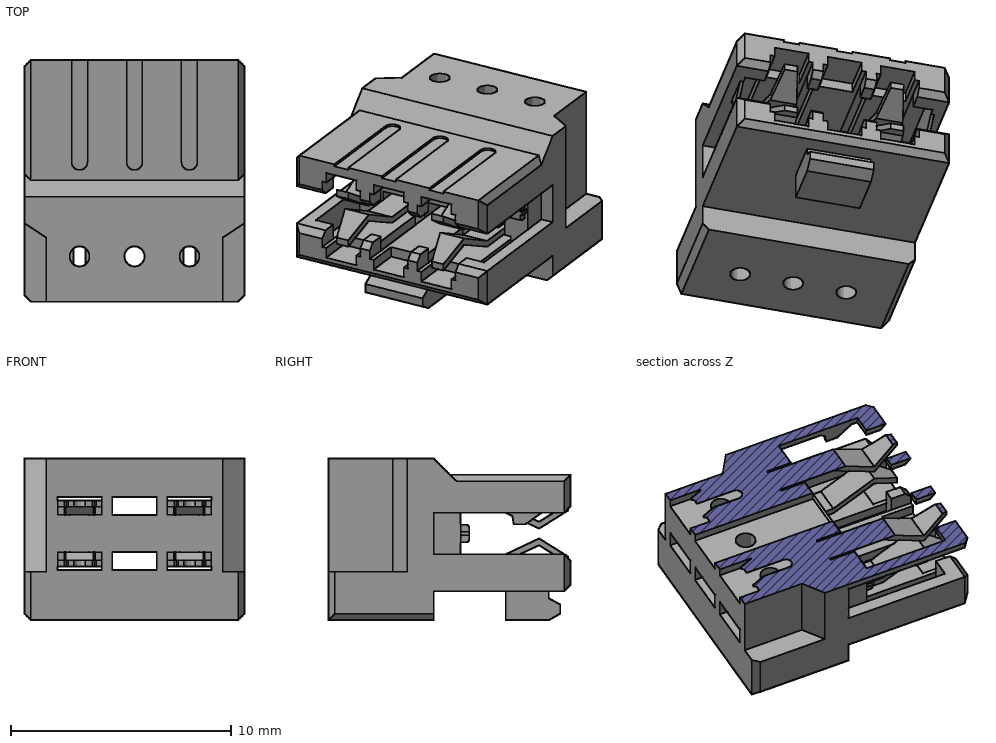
import cadquery as cq

WIDTH = 10.0
LENGTH = 11.0
HEIGHT = 7.35
BODY_LENGTH = 4.78
CHAMFER = 0.3
HALF_WIDTH = WIDTH / 2

UPPER_ARM_TOP = 6.61
LOWER_ARM_BOTTOM = 1.31
GAP_HEIGHT = 1.87
MID_Z = 3.94
GAP_BOTTOM = MID_Z - GAP_HEIGHT / 2
GAP_TOP = MID_Z + GAP_HEIGHT / 2

STEP_Z = 2.21
STEP_WIDTH = 1.0
STEP_FLAT_END = 2.92
STEP_END = 3.58

PITCH = 2.5
COLUMNS = (-PITCH, 0, PITCH)
CONTACT_COLUMNS = (-PITCH, PITCH)
SLOT_WIDTH = 2.0
SLOT_HEIGHT = 0.8
SLOT_BOTTOM = 2.29
HOLE_DIAMETER = 0.9
HOLE_Y = 2.07
GROOVE_WIDTH = 0.73
GROOVE_DEPTH = 0.1
GROOVE_START = 6.0

BLOCK_WIDTH = 8.82
BLOCK_END = 6.01
BAR_END = 6.4
BAR_HEIGHT = 0.8
BAR_TIP_HEIGHT = 0.18
BAR_WIDTH = 8.69
BAR_TIP_LENGTH = 0.1
BAR_FILLET = 0.14

POCKET_END = 9.99
POCKET_FLOOR = 1.8
RELIEF_WIDTH = 1.58
RELIEF_START = 9.43

SHEET = 0.3
SHEET_BOTTOM = 2.43
SHEET_TOP = SHEET_BOTTOM + SHEET
BLADE_TIP = 0.88
BLADE_SHOULDER = 0.99
BLADE_SLOPE_END = 1.6
SLIT_WIDTH = 0.53
SLIT_END = 2.86
BLADE_SLOPE_WIDTH = 0.31
BLADE_TIP_WIDTH = 0.09
BLADE_FALL_WIDTH = 0.09
SPRING_WIDTH = 1.25
SPRING_BEND_Y = 7.48
SPRING_PEAK_Y = 9.57
SPRING_PEAK_Z = 3.72
SPRING_TIP_WIDTH = 0.6
SPRING_TIP_Y = 10.89
SPRING_TIP_Z = 2.89
SPRING_DROP = 0.32
LEDGE_WIDTH = 0.31

HOOK_WIDTH = 3.0
HOOK_FRONT = 8.05
HOOK_BACK = 10.01
HOOK_NOSE = 10.54
HOOK_NOSE_BOTTOM = 0.3
HOOK_NOSE_TOP = 0.72
HOOK_NECK = 1.0

STOP_WIDTH = 0.15
STOP_BOTTOM = 4.36
STOP_FRONT = 8.1
STOP_SHOULDER_Y = 8.35
STOP_SHOULDER_Z = 4.73
STOP_FLAT_START = 8.42
STOP_FLAT_END = 8.95
STOP_BACK = 9.68


def box(x_range, y_range, z_range):
    """Box between two limits along each axis."""
    limits = (x_range, y_range, z_range)
    sizes = [high - low for low, high in limits]
    corner = [low for low, high in limits]
    return cq.Workplane("XY").box(*sizes, centered=False).translate(tuple(corner))


def centred_box(x, width, y_range, z_range):
    """Box of a given width centred on a place along X."""
    return box((x - width / 2, x + width / 2), y_range, z_range)


def side_prism(points, x, width):
    """Prism with a Y-Z outline, centred on a place along X."""
    outline = cq.Workplane("YZ").polyline(points).close()
    return outline.extrude(width / 2, both=True).translate((x, 0, 0))


def mirror_across_gap(shape):
    """Copy of a lower-arm feature, mirrored to the upper arm."""
    return shape.mirror("XY", (0, 0, MID_Z))


def on_both_arms(shape):
    """A lower-arm feature together with its mirrored copy."""
    return [shape, mirror_across_gap(shape)]


def edge_chamfer(z, y_range):
    """Wedges that bevel both long side edges at a given height."""
    y_start, y_end = y_range
    plane = cq.Workplane("XZ", origin=(0, y_end, 0))
    wedges = None
    for side in (-1, 1):
        edge_x = side * HALF_WIDTH
        points = [
            (edge_x - CHAMFER, z), (edge_x, z - CHAMFER),
            (edge_x + CHAMFER, z), (edge_x, z + CHAMFER),
        ]
        wedge = plane.polyline(points).close().extrude(y_end - y_start)
        wedges = wedge if wedges is None else wedges.union(wedge)
    return wedges


def make_body():
    ramp_end = BODY_LENGTH + HEIGHT - UPPER_ARM_TOP
    side_outline = [
        (0, 0), (BODY_LENGTH, 0), (BODY_LENGTH, LOWER_ARM_BOTTOM),
        (LENGTH - CHAMFER, LOWER_ARM_BOTTOM), (LENGTH, LOWER_ARM_BOTTOM + CHAMFER),
        (LENGTH, GAP_BOTTOM - CHAMFER), (LENGTH - CHAMFER, GAP_BOTTOM),
        (BODY_LENGTH, GAP_BOTTOM), (BODY_LENGTH, GAP_TOP),
        (LENGTH - CHAMFER, GAP_TOP), (LENGTH, GAP_TOP + CHAMFER),
        (LENGTH, UPPER_ARM_TOP), (ramp_end, UPPER_ARM_TOP),
        (BODY_LENGTH, HEIGHT), (0, HEIGHT),
    ]
    body = side_prism(side_outline, 0, WIDTH)

    plan = cq.Workplane("XY").rect(WIDTH, LENGTH).extrude(HEIGHT).edges("|Z").chamfer(CHAMFER)
    body = body.intersect(plan.translate((0, LENGTH / 2, 0)))

    body = body.cut(edge_chamfer(0, (0, BODY_LENGTH)))
    ramp_foot = ramp_end + CHAMFER
    ramp_outline = [
        (ramp_foot, UPPER_ARM_TOP - CHAMFER), (LENGTH, UPPER_ARM_TOP - CHAMFER),
        (LENGTH, UPPER_ARM_TOP), (ramp_end, UPPER_ARM_TOP),
    ]
    beyond_ramp = side_prism(ramp_outline, 0, WIDTH)
    arm_chamfer = edge_chamfer(UPPER_ARM_TOP, (BODY_LENGTH, LENGTH))
    return body.cut(arm_chamfer.intersect(beyond_ramp))


def make_corner_step():
    """Cut that leaves a ledge at the left front corner."""
    inner_x = -HALF_WIDTH + STEP_WIDTH
    outline = [(-HALF_WIDTH, 0), (inner_x, 0), (inner_x, STEP_FLAT_END), (-HALF_WIDTH, STEP_END)]
    return cq.Workplane("XY").workplane(offset=STEP_Z).polyline(outline).close().extrude(HEIGHT)


def make_gap_block():
    """Block across the inner end of the gap, with its bar and end tongues."""
    block = centred_box(0, BLOCK_WIDTH, (BODY_LENGTH, BLOCK_END), (GAP_BOTTOM, GAP_TOP))
    bar_z = (MID_Z - BAR_HEIGHT / 2, MID_Z + BAR_HEIGHT / 2)
    bar = centred_box(0, BAR_WIDTH - 2 * BAR_TIP_LENGTH, (BODY_LENGTH, BAR_END), bar_z)
    bar = bar.faces(">Y").edges("|X").fillet(BAR_FILLET)
    tip_z = (MID_Z - BAR_TIP_HEIGHT / 2, MID_Z + BAR_TIP_HEIGHT / 2)
    tips = centred_box(0, BAR_WIDTH, (BODY_LENGTH, BAR_END), tip_z)
    return block.union(bar).union(tips)


def make_arm_pocket():
    """Pocket of the lower arm, leaving one raised pad for each column."""
    pocket = centred_box(0, BLOCK_WIDTH, (BLOCK_END, POCKET_END), (POCKET_FLOOR, GAP_BOTTOM))
    for x in COLUMNS:
        pad = centred_box(x, SLOT_WIDTH, (BLOCK_END, POCKET_END), (POCKET_FLOOR, SLOT_BOTTOM))
        opening = centred_box(x, SLOT_WIDTH, (BLOCK_END, LENGTH), (SLOT_BOTTOM, GAP_BOTTOM))
        relief = centred_box(x, RELIEF_WIDTH, (RELIEF_START, LENGTH), (POCKET_FLOOR, GAP_BOTTOM))
        pocket = pocket.cut(pad).union(opening).union(relief)
    return pocket


def make_wire_slot(x):
    slot_z = (SLOT_BOTTOM, SLOT_BOTTOM + SLOT_HEIGHT)
    return centred_box(x, SLOT_WIDTH, (0, BLOCK_END), slot_z)


def make_test_hole(x):
    return cq.Workplane("XY").center(x, HOLE_Y).circle(HOLE_DIAMETER / 2).extrude(HEIGHT)


def make_top_groove(x):
    """Round-ended groove that runs out at the end of the upper arm."""
    radius = GROOVE_WIDTH / 2
    centre_y = GROOVE_START + radius
    depth_range = (UPPER_ARM_TOP - GROOVE_DEPTH, UPPER_ARM_TOP)
    straight = centred_box(x, GROOVE_WIDTH, (centre_y, LENGTH), depth_range)
    end = cq.Workplane("XY").center(x, centre_y).circle(radius).extrude(GROOVE_DEPTH)
    return straight.union(end.translate((0, 0, depth_range[0])))


def make_blade(x):
    """Forked blade, with each prong sloped to a tip and a shoulder."""
    left = x - SLOT_WIDTH / 2
    right = x + SLOT_WIDTH / 2
    prong_width = (SLOT_WIDTH - SLIT_WIDTH) / 2

    def prong_front(start):
        tip = start + BLADE_SLOPE_WIDTH
        fall = tip + BLADE_TIP_WIDTH
        return [
            (start, BLADE_SLOPE_END), (tip, BLADE_TIP), (fall, BLADE_TIP),
            (fall + BLADE_FALL_WIDTH, BLADE_SHOULDER), (start + prong_width, BLADE_SHOULDER),
        ]

    slit_left = left + prong_width
    slit_right = right - prong_width
    blade = cq.Workplane("XY").workplane(offset=SHEET_BOTTOM)
    blade = blade.polyline(prong_front(left)).lineTo(slit_left, SLIT_END)
    blade = blade.threePointArc((x, SLIT_END + SLIT_WIDTH / 2), (slit_right, SLIT_END))
    for point in prong_front(slit_right):
        blade = blade.lineTo(*point)
    return blade.lineTo(right, BODY_LENGTH).lineTo(left, BODY_LENGTH).close().extrude(SHEET)


def make_spring(x):
    """Strip that rises out of the pocket, then bends back down and tapers to its tip."""
    side_outline = [
        (BODY_LENGTH, SHEET_BOTTOM), (SPRING_BEND_Y, SHEET_BOTTOM),
        (SPRING_PEAK_Y, SPRING_PEAK_Z - SPRING_DROP), (SPRING_TIP_Y, SPRING_TIP_Z - SPRING_DROP),
        (SPRING_TIP_Y, SPRING_TIP_Z), (SPRING_PEAK_Y, SPRING_PEAK_Z),
        (SPRING_BEND_Y, SHEET_TOP), (BODY_LENGTH, SHEET_TOP),
    ]
    half_width = SPRING_WIDTH / 2
    half_tip = SPRING_TIP_WIDTH / 2
    plan_outline = [
        (-half_width, BODY_LENGTH), (half_width, BODY_LENGTH), (half_width, SPRING_PEAK_Y),
        (half_tip, SPRING_TIP_Y), (-half_tip, SPRING_TIP_Y), (-half_width, SPRING_PEAK_Y),
    ]
    plan = cq.Workplane("XY").polyline(plan_outline).close().extrude(HEIGHT)
    return side_prism(side_outline, x, SPRING_WIDTH).intersect(plan.translate((x, 0, 0)))


def make_contact(x):
    """Blade, spring and the two ledges that hold the strip."""
    contact = make_blade(x).union(make_spring(x))
    ledge_offset = (SLOT_WIDTH - LEDGE_WIDTH) / 2
    ledge_z = (SHEET_BOTTOM, SLOT_BOTTOM + SLOT_HEIGHT)
    for side in (-1, 1):
        ledge = centred_box(x + side * ledge_offset, LEDGE_WIDTH, (BODY_LENGTH, BLOCK_END), ledge_z)
        contact = contact.union(ledge)
    return contact


def make_hook():
    outline = [
        (HOOK_FRONT, 0), (HOOK_BACK, 0), (HOOK_NOSE, HOOK_NOSE_BOTTOM),
        (HOOK_NOSE, HOOK_NOSE_TOP), (HOOK_BACK, HOOK_NECK),
        (HOOK_BACK, LOWER_ARM_BOTTOM), (HOOK_FRONT, LOWER_ARM_BOTTOM),
    ]
    return side_prism(outline, 0, HOOK_WIDTH)


def make_stop(side):
    """Stop just outside the pocket, on one side wall of the upper arm."""
    outline = [
        (STOP_FRONT, GAP_TOP), (STOP_SHOULDER_Y, STOP_SHOULDER_Z), (STOP_FLAT_START, STOP_BOTTOM),
        (STOP_FLAT_END, STOP_BOTTOM), (STOP_BACK, GAP_TOP),
    ]
    x = side * (BLOCK_WIDTH + STOP_WIDTH) / 2
    return side_prism(outline, x, STOP_WIDTH)


result = make_body()
corner_step = make_corner_step()
result = result.cut(corner_step).cut(corner_step.mirror("YZ"))
result = result.union(make_gap_block())
for cut in on_both_arms(make_arm_pocket()):
    result = result.cut(cut)
for column in COLUMNS:
    for cut in on_both_arms(make_wire_slot(column)):
        result = result.cut(cut)
    result = result.cut(make_test_hole(column)).cut(make_top_groove(column))
for column in CONTACT_COLUMNS:
    for contact in on_both_arms(make_contact(column)):
        result = result.union(contact)
result = result.union(make_hook())
for side in (-1, 1):
    result = result.union(make_stop(side))